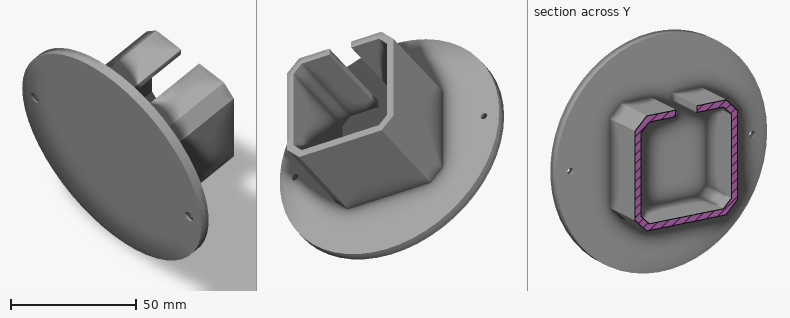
import cadquery as cq

plate_diameter = 100
plate_thickness = 4.1

total_depth = 44.7
tube_width = 48.6
tube_corner = 5.5
tube_wall = 3
slot_width = 10

hole_spacing = 86
hole_diameter = 2.9
counterbore_diameter = 4.6
counterbore_depth = 1

tube_length = total_depth - plate_thickness


def rear_plane(y):
    """Sketch plane at depth y whose normal points to the rear (+Y)."""
    return cq.Workplane("XZ", origin=(0, y, 0)).transformed(rotate=(0, 180, 0))


def make_plate():
    return rear_plane(0).circle(plate_diameter / 2).extrude(plate_thickness)


def make_tube():
    outside = (
        rear_plane(plate_thickness)
        .rect(tube_width, tube_width)
        .extrude(tube_length)
        .edges("|Y")
        .chamfer(tube_corner)
    )
    bore_profile = outside.faces(">Y").wires().toPending().offset2D(-tube_wall, "intersection")
    return bore_profile.cutBlind(-tube_length)


def make_slot():
    """Full-length opening through the top wall of the tube."""
    return cq.Workplane("XY").box(
        slot_width, tube_length, tube_width / 2, centered=(True, False, False)
    ).translate((0, plate_thickness, 0))


def drill_screw_holes(body):
    return (
        body.faces("<Y")
        .workplane(origin=(0, 0, 0))
        .pushPoints([(-hole_spacing / 2, 0), (hole_spacing / 2, 0)])
        .cboreHole(hole_diameter, counterbore_diameter, counterbore_depth)
    )


tube = make_tube().cut(make_slot())
result = drill_screw_holes(make_plate()).union(tube)